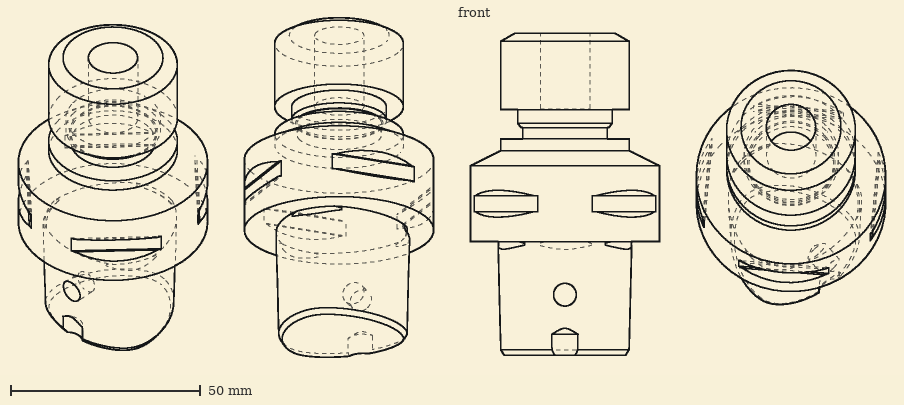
import cadquery as cq
import math


flange_radius = 25.0
flange_height = 20.0
collar_radius = 17.0
collar_base = 24.0
collar_top = 27.1
neck_radius = 11.2
neck_top = 30.1
body_radius = 12.5
body_chamfer_radius = 11.6
body_base = 31.2

nut_radius = 17.0
nut_base = 34.8
nut_top = 55.0
nut_face_radius = 13.2
nut_chamfer_angle = 30.0
nut_chamfer_height = (nut_radius - nut_face_radius) * math.tan(math.radians(nut_chamfer_angle))
bore_radius = 6.5
bore_depth = 20.0

slot_count = 4
slot_first_angle = 45.0
slot_center_z = flange_height / 2
slot_floor_distance = 22.0
slot_floor_height = 4.2
slot_wall_depth = 0.5
slot_wall_slope_angle = 30.0

shank_length = 30.0
shank_radius = 17.6
lobe_eccentricity = 1.15
lobe_count = 3
straight_length = 3.0
shank_taper = 1 / 20
tip_chamfer_height = 1.5
tip_chamfer_width = 0.95
outline_points = 48

groove_bottom_radius = 17.65
groove_fillet = 0.6
groove_center_z = -0.65
groove_outer_radius = 20.0

hole_radius = 3.0
hole_z = -14.0
hole_depth = 6.0
hole_point_angle = 118.0
notch_radius = 4.0
notch_axis_y = -17.7
notch_height = 5.5
notch_point_angle = 108.0


def lobed_point(mean_radius, angle):
    """Point of the lobed outline whose normal points along the given angle."""
    phase = lobe_count * (angle - math.pi / 2)
    support = mean_radius + lobe_eccentricity * math.cos(phase)
    slope = -lobe_count * lobe_eccentricity * math.sin(phase)
    x = support * math.cos(angle) - slope * math.sin(angle)
    y = support * math.sin(angle) + slope * math.cos(angle)
    return (x, y)


def lobed_wire(mean_radius, z):
    """Closed lobed outline at height z."""
    points = [lobed_point(mean_radius, 2 * math.pi * i / outline_points) for i in range(outline_points)]
    return cq.Workplane("XY", origin=(0, 0, z)).spline(points, periodic=True).wire().val()


def make_body():
    """Flange, collar, neck and nut as one turned profile with the nut bore."""
    profile = [
        (0, 0),
        (flange_radius, 0),
        (flange_radius, flange_height),
        (collar_radius, collar_base),
        (collar_radius, collar_top),
        (neck_radius, collar_top),
        (neck_radius, neck_top),
        (body_chamfer_radius, neck_top),
        (body_radius, body_base),
        (body_radius, nut_base),
        (nut_radius, nut_base),
        (nut_radius, nut_top - nut_chamfer_height),
        (nut_face_radius, nut_top),
        (0, nut_top),
    ]
    body = cq.Workplane("XZ").polyline(profile).close().revolve(360, (0, 0), (0, 1))
    bore = cq.Workplane("XY", origin=(0, 0, nut_top - bore_depth)).circle(bore_radius).extrude(bore_depth)
    return body.cut(bore)


def make_gripper_slot(angle):
    """Slot with a flat floor and short upright walls that slope open towards the flange surface."""
    floor_half = slot_floor_height / 2
    slope_start = slot_floor_distance + slot_wall_depth
    slope_depth = flange_radius - slope_start
    mouth_half = floor_half + slope_depth * math.tan(math.radians(slot_wall_slope_angle))
    profile = [
        (slot_floor_distance, -floor_half),
        (slope_start, -floor_half),
        (flange_radius, -mouth_half),
        (flange_radius, mouth_half),
        (slope_start, floor_half),
        (slot_floor_distance, floor_half),
    ]
    slot = (
        cq.Workplane("XZ", origin=(0, 0, slot_center_z))
        .polyline(profile)
        .close()
        .extrude(flange_radius, both=True)
    )
    return slot.rotate((0, 0, 0), (0, 0, 1), angle)


def make_shank():
    """Straight, tapered and chamfered stretches of the lobed shank."""
    chamfer_z = -(shank_length - tip_chamfer_height)
    taper_length = -straight_length - chamfer_z
    end_radius = shank_radius - taper_length * shank_taper / 2
    sections = [
        lobed_wire(shank_radius, 0),
        lobed_wire(shank_radius, -straight_length),
        lobed_wire(end_radius, chamfer_z),
        lobed_wire(end_radius - tip_chamfer_width, -shank_length),
    ]
    shank = cq.Workplane(cq.Solid.makeLoft(sections[:2], True))
    for upper, lower in zip(sections[1:-1], sections[2:]):
        shank = shank.union(cq.Workplane(cq.Solid.makeLoft([upper, lower], True)))
    return shank


def make_relief_groove():
    """Ring with a 45 degree V section and a rounded bottom, ending at the flange."""
    tangent_offset = groove_fillet * math.sqrt(0.5)
    tangent_radius = groove_bottom_radius + groove_fillet - tangent_offset
    upper_z = groove_center_z + tangent_offset
    lower_z = groove_center_z - tangent_offset
    return (
        cq.Workplane("XZ")
        .moveTo(groove_outer_radius, 0)
        .lineTo(tangent_radius - upper_z, 0)
        .lineTo(tangent_radius, upper_z)
        .threePointArc((groove_bottom_radius, groove_center_z), (tangent_radius, lower_z))
        .lineTo(groove_outer_radius, lower_z - (groove_outer_radius - tangent_radius))
        .close()
        .revolve(360, (0, 0), (0, 1))
    )


def make_drilled_hole(radius, depth, point_angle):
    """Drill shape starting at the origin and pointing up, with a conical tip."""
    tip_z = depth + radius / math.tan(math.radians(point_angle / 2))
    profile = [(0, 0), (radius, 0), (radius, depth), (0, tip_z)]
    return cq.Workplane("XZ").polyline(profile).close().revolve(360, (0, 0), (0, 1))


def make_locating_hole():
    """Blind hole drilled along +Y into the flat side of the shank."""
    flat_side_y = -(shank_radius - lobe_eccentricity)
    drill = make_drilled_hole(hole_radius, hole_depth, hole_point_angle)
    return drill.rotate((0, 0, 0), (1, 0, 0), -90).translate((0, flat_side_y, hole_z))


def make_key_notch():
    """Notch drilled upward through the lower rim of the flat side."""
    drill = make_drilled_hole(notch_radius, notch_height, notch_point_angle)
    return drill.translate((0, notch_axis_y, -shank_length))


shank = make_shank().cut(make_relief_groove()).cut(make_locating_hole()).cut(make_key_notch())
body = make_body()
for index in range(slot_count):
    body = body.cut(make_gripper_slot(slot_first_angle + index * 360 / slot_count))

result = body.union(shank)